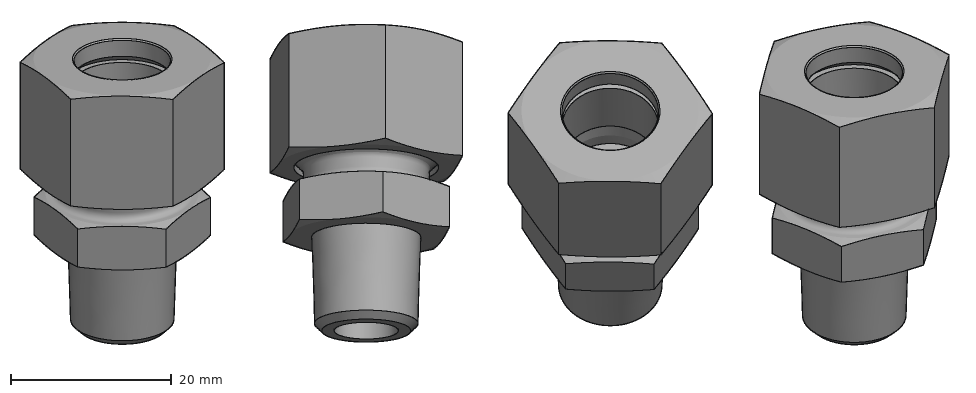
import cadquery as cq
import math

total_height = 36.5

nut_flats = 22.0
nut_height = 15.5
body_hex_flats = 19.0
body_hex_height = 6.0
hex_chamfer_angle = 15.0

taper_thread_length = 12.0
taper_end_diameter = 12.85
taper_ratio = 1 / 16
taper_end_chamfer = 0.9
bore_diameter = 8.0
relief_diameter = 15.7
relief_exit_diameter = 16.0
relief_fillet = 1.0
relief_straight_length = 1.35
nut_thread_diameter = 18.0
stud_length = 11.0
tube_seat_depth = 7.0
cone_mouth_diameter = 14.3
cone_half_angle = 12.0

tube_diameter = 12.0

nut_entry_chamfer = 0.2
nut_collar_depth = 2.37
nut_cavity_diameter = 16.4

ferrule_top_depth = 3.2
ferrule_diameter = 16.0
ferrule_insertion = 3.43

bore_radius = bore_diameter / 2
tube_radius = tube_diameter / 2
thread_radius = nut_thread_diameter / 2
relief_radius = relief_diameter / 2
relief_exit_radius = relief_exit_diameter / 2
mouth_radius = cone_mouth_diameter / 2
cavity_radius = nut_cavity_diameter / 2
ferrule_radius = ferrule_diameter / 2

nut_bottom = total_height - nut_height
hex_bottom = taper_thread_length
hex_top = hex_bottom + body_hex_height
stud_top = hex_top + stud_length
tube_seat = stud_top - tube_seat_depth
cone_slope = math.tan(math.radians(cone_half_angle))
collar_bottom = total_height - nut_collar_depth


def revolve_profile(profile):
    """Turn a closed (radius, height) profile about the Z axis."""
    return profile.close().revolve(360, (0, 0, 0), (0, 1, 0))


def chamfered_hexagon(flats, bottom, height):
    """Hexagonal prism with corners turned off conically at both ends."""
    corner_diameter = flats / math.cos(math.radians(30))
    prism = (
        cq.Workplane("XY")
        .workplane(offset=bottom)
        .polygon(6, corner_diameter)
        .extrude(height)
        .rotate((0, 0, 0), (0, 0, 1), 30)
    )
    flat_radius = flats / 2
    corner_radius = corner_diameter / 2
    drop = (corner_radius - flat_radius) * math.tan(math.radians(hex_chamfer_angle))
    top = bottom + height
    envelope = revolve_profile(
        cq.Workplane("XZ")
        .moveTo(0, bottom)
        .lineTo(flat_radius, bottom)
        .lineTo(corner_radius, bottom + drop)
        .lineTo(corner_radius, top - drop)
        .lineTo(flat_radius, top)
        .lineTo(0, top)
    )
    return prism.intersect(envelope)


def make_taper_thread():
    """Tapered connection thread with a 45 degree end chamfer."""
    end_radius = taper_end_diameter / 2
    chamfer_radius = end_radius + taper_end_chamfer * taper_ratio / 2
    root_radius = end_radius + taper_thread_length * taper_ratio / 2
    return revolve_profile(
        cq.Workplane("XZ")
        .moveTo(0, 0)
        .lineTo(chamfer_radius - taper_end_chamfer, 0)
        .lineTo(chamfer_radius, taper_end_chamfer)
        .lineTo(root_radius, hex_bottom)
        .lineTo(0, hex_bottom)
    )


def make_stud():
    """Relief groove with rounded ends, then a 45 degree run-out to the nut thread."""
    straight_bottom = hex_top + relief_fillet
    straight_top = straight_bottom + relief_straight_length
    arc_center_radius = relief_radius + relief_fillet
    diagonal = relief_fillet * math.sqrt(0.5)

    exit_angle = math.acos((arc_center_radius - relief_exit_radius) / relief_fillet)
    exit_height = straight_top + relief_fillet * math.sin(exit_angle)
    half_angle = exit_angle / 2
    upper_middle = (
        arc_center_radius - relief_fillet * math.cos(half_angle),
        straight_top + relief_fillet * math.sin(half_angle),
    )
    runout_top = exit_height + thread_radius - relief_exit_radius
    return revolve_profile(
        cq.Workplane("XZ")
        .moveTo(0, hex_top)
        .lineTo(arc_center_radius, hex_top)
        .threePointArc(
            (arc_center_radius - diagonal, straight_bottom - diagonal),
            (relief_radius, straight_bottom),
        )
        .lineTo(relief_radius, straight_top)
        .threePointArc(upper_middle, (relief_exit_radius, exit_height))
        .lineTo(thread_radius, runout_top)
        .lineTo(thread_radius, stud_top)
        .lineTo(0, stud_top)
    )


def make_body_passage():
    """Through bore, tube socket and the conical mouth that takes the ferrule."""
    cone_bottom = stud_top - (mouth_radius - tube_radius) / cone_slope
    return revolve_profile(
        cq.Workplane("XZ")
        .moveTo(0, 0)
        .lineTo(bore_radius, 0)
        .lineTo(bore_radius, tube_seat)
        .lineTo(tube_radius, tube_seat)
        .lineTo(tube_radius, cone_bottom)
        .lineTo(mouth_radius, stud_top)
        .lineTo(0, stud_top)
    )


def make_body():
    """Male fitting body."""
    hexagon = chamfered_hexagon(body_hex_flats, hex_bottom, body_hex_height)
    outside = make_taper_thread().union(hexagon).union(make_stud())
    return outside.cut(make_body_passage()).solids()


def make_nut():
    """Union nut: collar around the tube, 45 degree cone, cavity and thread."""
    cone_bottom = collar_bottom - (cavity_radius - tube_radius)
    cavity = revolve_profile(
        cq.Workplane("XZ")
        .moveTo(0, nut_bottom)
        .lineTo(thread_radius, nut_bottom)
        .lineTo(thread_radius, stud_top)
        .lineTo(cavity_radius, stud_top)
        .lineTo(cavity_radius, cone_bottom)
        .lineTo(tube_radius, collar_bottom)
        .lineTo(tube_radius, total_height - nut_entry_chamfer)
        .lineTo(tube_radius + nut_entry_chamfer, total_height)
        .lineTo(0, total_height)
    )
    return chamfered_hexagon(nut_flats, nut_bottom, nut_height).cut(cavity).solids()


def make_ferrule():
    """Cutting ring seated between the nut's 45 degree cone and the body's mouth."""
    top = total_height - ferrule_top_depth
    top_radius = tube_radius + collar_bottom - top
    shoulder = top - (ferrule_radius - top_radius)
    tip = stud_top - ferrule_insertion
    tip_radius = mouth_radius - ferrule_insertion * cone_slope
    return revolve_profile(
        cq.Workplane("XZ")
        .moveTo(tube_radius, tip)
        .lineTo(tip_radius, tip)
        .lineTo(mouth_radius, stud_top)
        .lineTo(ferrule_radius, stud_top)
        .lineTo(ferrule_radius, shoulder)
        .lineTo(top_radius, top)
        .lineTo(tube_radius, top)
    )


body = make_body()
nut = make_nut()
ferrule = make_ferrule()

result = cq.Compound.makeCompound([body.val(), nut.val(), ferrule.val()])